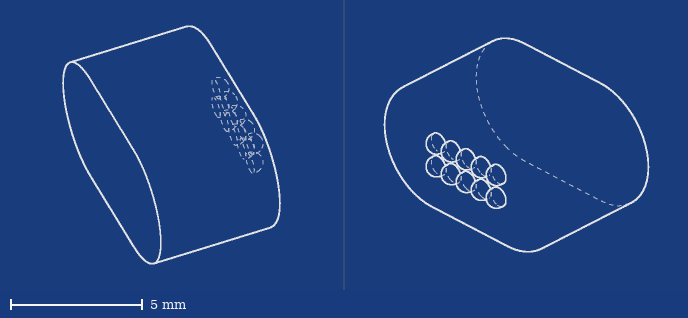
import cadquery as cq
import math

length = 9.3
height = 5.2
depth = 4.99
back_fillet = 0.2

pin_radius = 0.4
pin_protrusion = 0.5
pin_pitch = 0.81
pins_per_row = 5
row_spacing = 1.0

total_depth = depth + pin_protrusion
pin_shank = pin_protrusion - pin_radius


def make_housing():
    """Stadium block from y = 0 to y = depth with a rounded back rim."""
    block = cq.Workplane("XZ").slot2D(length, height).extrude(-depth)
    return block.faces(">Y").edges().fillet(back_fillet)


def make_pin(x, z):
    """Pin revolved about its own axis: short shank ending in a hemispherical dome."""
    dome_base = depth + pin_shank
    dome_mid = pin_radius * math.sqrt(0.5)
    return (
        cq.Workplane("XY", origin=(x, 0, z))
        .moveTo(0, depth)
        .lineTo(pin_radius, depth)
        .lineTo(pin_radius, dome_base)
        .threePointArc((dome_mid, dome_base + dome_mid), (0, total_depth))
        .close()
        .revolve(360, (0, 0), (0, 1))
    )


result = make_housing()
for row in range(2):
    pin_z = (row - 0.5) * row_spacing
    for column in range(pins_per_row):
        pin_x = (column - (pins_per_row - 1) / 2) * pin_pitch
        result = result.union(make_pin(pin_x, pin_z))